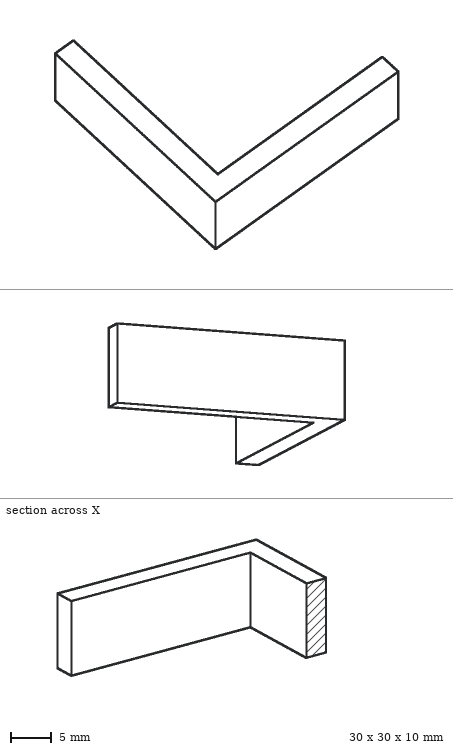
import cadquery as cq

leg_length = 30.0
height = leg_length / 3
thickness = leg_length / 10

inner_x = leg_length - thickness
outline = [
    (0, 0),
    (leg_length, 0),
    (leg_length, leg_length),
    (inner_x, leg_length),
    (inner_x, thickness),
    (0, thickness),
]

result = cq.Workplane("XY").polyline(outline).close().extrude(height)